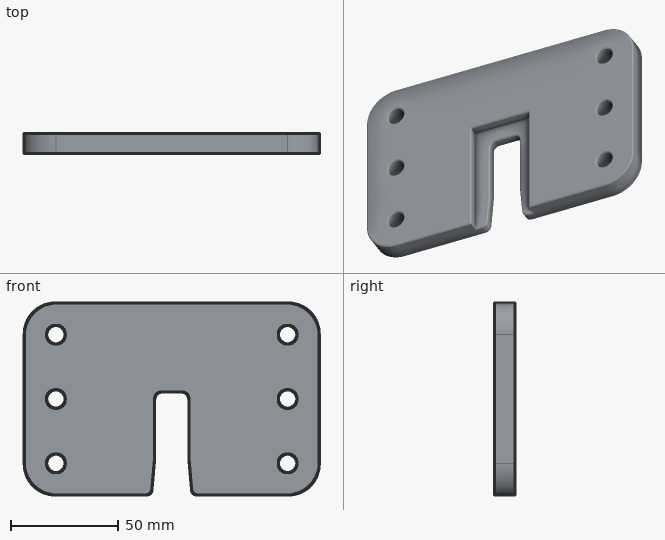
import cadquery as cq
import math

WIDTH = 138.0
HEIGHT = 90.0
THICKNESS = 10.0
CORNER_RADIUS = 15.0
EDGE_CHAMFER = 0.5

HOLE_DIAMETER = 8.2
HOLE_COLUMN_X = WIDTH / 2 - CORNER_RADIUS
HOLE_PITCH_Z = HEIGHT / 2 - CORNER_RADIUS

SLOT_WIDTH = 15.4
SLOT_TOP_Z = 3.0
SLOT_FLARE_Z = -26.0
SLOT_TOP_RADIUS = 3.0
SLOT_FLARE_RADIUS = 30.0
SLOT_FLARE_ANGLE = math.radians(5)
SLOT_MOUTH_RADIUS = 3.0

LIP_THICKNESS = 5.0
RECESS_WIDTH = 30.0
RECESS_BORDER = (RECESS_WIDTH - SLOT_WIDTH) / 2
RECESS_TOP_Z = SLOT_TOP_Z + RECESS_BORDER

BOTTOM_Z = -HEIGHT / 2
FRONT_Y = -THICKNESS / 2
RECESS_FLOOR_Y = FRONT_Y + LIP_THICKNESS

SELECTION_REACH = 0.1


def make_plate():
    """Rectangular plate with rounded corners."""
    return cq.Workplane("XY").box(WIDTH, THICKNESS, HEIGHT).edges("|Y").fillet(CORNER_RADIUS)


def bend_point(angle):
    """Point on the right-hand wall of the slot where it has turned outwards by the angle."""
    x = SLOT_WIDTH / 2 + SLOT_FLARE_RADIUS * (1 - math.cos(angle))
    z = SLOT_FLARE_Z - SLOT_FLARE_RADIUS * math.sin(angle)
    return x, z


def mirrored(point):
    """The same point on the opposite side of the slot."""
    x, z = point
    return -x, z


def corner_edges(body, x, z):
    """Select the two edges along Y that pass through the points (x, z) and (-x, z)."""
    reach = SELECTION_REACH
    return body.edges(
        cq.selectors.BoxSelector((x - reach, -reach, z - reach), (x + reach, reach, z + reach))
        + cq.selectors.BoxSelector((-x - reach, -reach, z - reach), (-x + reach, reach, z + reach))
    )


def cut_slot(body):
    """Cut the flared slot through the plate and round its corners."""
    half_width = SLOT_WIDTH / 2
    bend_start = bend_point(0)
    bend_middle = bend_point(SLOT_FLARE_ANGLE / 2)
    bend_end = bend_point(SLOT_FLARE_ANGLE)
    bend_end_x, bend_end_z = bend_end
    half_mouth = bend_end_x + (bend_end_z - BOTTOM_Z) * math.tan(SLOT_FLARE_ANGLE)

    slot = (
        cq.Workplane("XZ")
        .moveTo(half_mouth, BOTTOM_Z)
        .lineTo(*bend_end)
        .threePointArc(bend_middle, bend_start)
        .lineTo(half_width, SLOT_TOP_Z)
        .lineTo(-half_width, SLOT_TOP_Z)
        .lineTo(*mirrored(bend_start))
        .threePointArc(mirrored(bend_middle), mirrored(bend_end))
        .lineTo(-half_mouth, BOTTOM_Z)
        .close()
        .extrude(THICKNESS / 2, both=True)
    )
    body = body.cut(slot)
    body = corner_edges(body, half_width, SLOT_TOP_Z).fillet(SLOT_TOP_RADIUS)
    return corner_edges(body, half_mouth, BOTTOM_Z).fillet(SLOT_MOUTH_RADIUS)


def cut_holes(body):
    """Drill the mounting holes through the plate."""
    centres = [
        (side * HOLE_COLUMN_X, row * HOLE_PITCH_Z)
        for side in (-1, 1)
        for row in (-1, 0, 1)
    ]
    holes = (
        cq.Workplane("XZ")
        .pushPoints(centres)
        .circle(HOLE_DIAMETER / 2)
        .extrude(THICKNESS / 2, both=True)
    )
    return body.cut(holes)


def cut_recess(body):
    """Mill the recess into the back face, down to the lip around the slot."""
    depth = THICKNESS - LIP_THICKNESS
    height = RECESS_TOP_Z - BOTTOM_Z
    recess = cq.Workplane("XY").box(RECESS_WIDTH, depth, height, centered=(True, False, False))
    return body.cut(recess.translate((0, RECESS_FLOOR_Y, BOTTOM_Z)))


def chamfer_faces(body):
    """Chamfer every edge of the front and back faces, hole rims included."""
    return body.faces("<Y or >Y").edges().chamfer(EDGE_CHAMFER)


def chamfer_lip(body):
    """Chamfer the free edges of the recess floor: the slot rim and the bottom edge."""
    reach = SELECTION_REACH
    half_span = RECESS_WIDTH / 2 - reach
    free_edges = cq.selectors.BoxSelector(
        (-half_span, RECESS_FLOOR_Y - reach, BOTTOM_Z - reach),
        (half_span, RECESS_FLOOR_Y + reach, SLOT_TOP_Z + reach),
    )
    return body.edges(free_edges).chamfer(EDGE_CHAMFER)


plate = cut_holes(cut_slot(make_plate()))
plate = cut_recess(plate)
plate = chamfer_faces(plate)
result = chamfer_lip(plate)